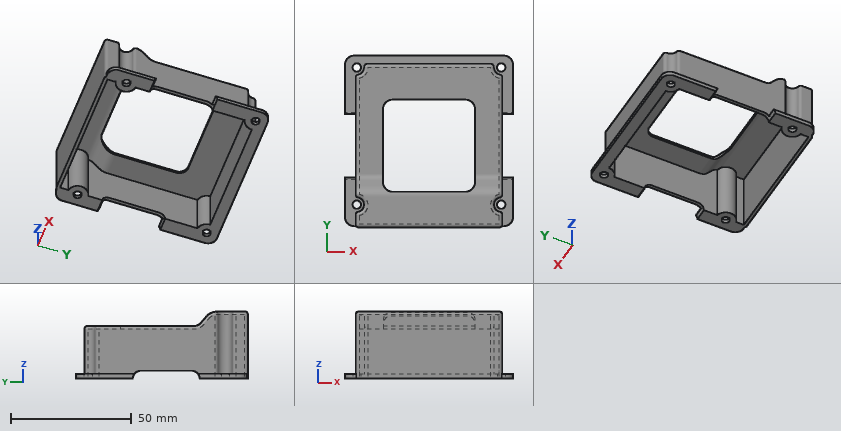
import cadquery as cq
import math

flange_width = 70.0
flange_back = 33.5
flange_front = -37.5
flange_thickness = 2.0
flange_corner_radius = 4.0

hole_diameter = 3.4
hole_pitch_x = 60.0
hole_pitch_y = 57.0
scallop_radius = 3.0

housing_width = 61.04
housing_back = 30.0
housing_front = -38.02
housing_center_y = (housing_back + housing_front) / 2
low_height = 21.92
high_height = 27.92
wall_thickness = 1.5
lid_thickness = 1.2
edge_radius = 1.35

ramp_start_y = -15.7
ramp_concave_radius = 3.5
ramp_convex_radius = 6.1
ramp_angle = math.radians(49)

window_size = 38.2
window_corner_radius = 4.0

notch_length = 27.7
notch_height = 3.2

hole_points = [
    (side_x * hole_pitch_x / 2, side_y * hole_pitch_y / 2)
    for side_x in (-1, 1)
    for side_y in (-1, 1)
]


def block(width, back, front, height):
    """Box standing on Z = 0, centered on X, between two Y positions."""
    return (
        cq.Workplane("XY")
        .center(0, (back + front) / 2)
        .rect(width, back - front)
        .extrude(height)
    )


def scalloped_block(inset):
    """Full-height housing outline, moved inward by inset, with the scallops cut out."""
    body = block(
        housing_width - 2 * inset, housing_back - inset, housing_front + inset, high_height
    )
    scallops = (
        cq.Workplane("XY").pushPoints(hole_points).circle(scallop_radius + inset).extrude(high_height)
    )
    return body.cut(scallops)


def stepped_profile(drop):
    """Space below the ramped lid, with the lid surface moved inward by drop."""
    concave = ramp_concave_radius + drop
    convex = ramp_convex_radius - drop
    low = low_height - drop
    high = high_height - drop

    def on_arc(radius, angle):
        return radius * math.sin(angle), radius * (1 - math.cos(angle))

    concave_run, concave_rise = on_arc(concave, ramp_angle)
    concave_mid_run, concave_mid_rise = on_arc(concave, ramp_angle / 2)
    convex_run, convex_rise = on_arc(convex, ramp_angle)
    convex_mid_run, convex_mid_rise = on_arc(convex, ramp_angle / 2)
    slope_rise = high - low - concave_rise - convex_rise
    slope_run = slope_rise / math.tan(ramp_angle)
    ramp_end_y = ramp_start_y - concave_run - slope_run - convex_run

    return (
        cq.Workplane("YZ")
        .moveTo(housing_back, 0)
        .lineTo(housing_back, low)
        .lineTo(ramp_start_y, low)
        .threePointArc(
            (ramp_start_y - concave_mid_run, low + concave_mid_rise),
            (ramp_start_y - concave_run, low + concave_rise),
        )
        .lineTo(ramp_end_y + convex_run, high - convex_rise)
        .threePointArc((ramp_end_y + convex_mid_run, high - convex_mid_rise), (ramp_end_y, high))
        .lineTo(housing_front, high)
        .lineTo(housing_front, 0)
        .close()
        .extrude(housing_width / 2, both=True)
    )


def housing_shell():
    """Outer housing with all vertical and lid edges rounded."""
    outline = scalloped_block(0).edges("|Z").fillet(edge_radius)
    body = outline.intersect(stepped_profile(0))
    return body.faces(">Z").edges().fillet(edge_radius)


def flange():
    return block(flange_width, flange_back, flange_front, flange_thickness).edges("|Z").fillet(
        flange_corner_radius
    )


def cavity():
    return scalloped_block(wall_thickness).intersect(stepped_profile(lid_thickness))


def window():
    return (
        cq.Workplane("XY")
        .center(0, housing_center_y)
        .rect(window_size, window_size)
        .extrude(high_height)
        .edges("|Z")
        .fillet(window_corner_radius)
    )


def side_notches():
    """Channel along X, open at the bottom, with quarter-round upper corners."""
    half_length = notch_length / 2
    corner = notch_height * math.sqrt(0.5)
    flat_half = half_length - notch_height
    return (
        cq.Workplane("YZ")
        .center(housing_center_y, 0)
        .moveTo(-half_length, 0)
        .threePointArc((-flat_half - corner, corner), (-flat_half, notch_height))
        .lineTo(flat_half, notch_height)
        .threePointArc((flat_half + corner, corner), (half_length, 0))
        .close()
        .extrude(flange_width / 2, both=True)
    )


def screw_holes():
    return (
        cq.Workplane("XY").pushPoints(hole_points).circle(hole_diameter / 2).extrude(flange_thickness)
    )


result = (
    housing_shell()
    .union(flange())
    .cut(cavity())
    .cut(window())
    .cut(side_notches())
    .cut(screw_holes())
)